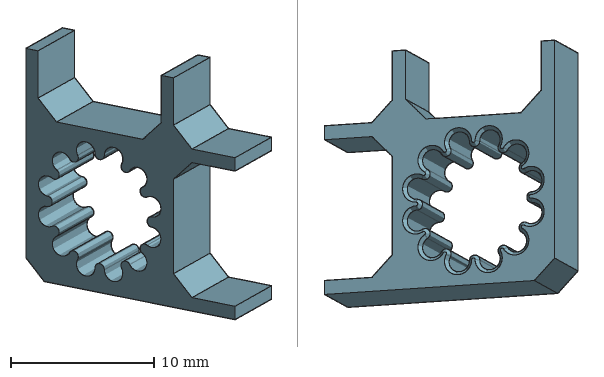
import cadquery as cq
import math

size = 17.0
depth = 5.0
wall = size / 17
body = 12 * wall
chamfer = 1.5 * wall

bore_center = body / 2
lobe_count = 12
lobe_radius = 0.75
lobe_center_radius = 4.37
tip_center_radius = 4.23
half_pitch = math.pi / lobe_count

lobe_tip_distance = math.sqrt(
    lobe_center_radius**2 + tip_center_radius**2
    - 2 * lobe_center_radius * tip_center_radius * math.cos(half_pitch)
)
tip_radius = lobe_tip_distance - lobe_radius

bore_chamfer = 0.25


def bore_point(radius, angle):
    """Point in the XZ plane at polar coordinates about the bore axis."""
    return (
        bore_center + radius * math.cos(angle),
        bore_center + radius * math.sin(angle),
    )


def tangent_point(lobe_angle, tip_angle):
    """Point where a lobe meets a neighbouring tip."""
    lobe_x, lobe_z = bore_point(lobe_center_radius, lobe_angle)
    tip_x, tip_z = bore_point(tip_center_radius, tip_angle)
    fraction = lobe_radius / lobe_tip_distance
    return (
        lobe_x + fraction * (tip_x - lobe_x),
        lobe_z + fraction * (tip_z - lobe_z),
    )


def make_frame():
    """Square body with two fins upward and two fins to the right."""
    outline = [
        (chamfer, 0),
        (size, 0),
        (size, wall),
        (body + chamfer, wall),
        (body, wall + chamfer),
        (body, body - wall - chamfer),
        (body + chamfer, body - wall),
        (size, body - wall),
        (size, body),
        (body + chamfer, body),
        (body, body + chamfer),
        (body, size),
        (body - wall, size),
        (body - wall, body + chamfer),
        (body - wall - chamfer, body),
        (wall + chamfer, body),
        (wall, body + chamfer),
        (wall, size),
        (0, size),
        (0, chamfer),
    ]
    return cq.Workplane("XZ").polyline(outline).close().extrude(-depth)


def make_bore():
    """Through cutter whose outline alternates lobes and tips."""
    profile = cq.Workplane("XZ").moveTo(*tangent_point(half_pitch, 0))
    for index in range(lobe_count):
        lobe_angle = (2 * index + 1) * half_pitch
        tip_angle = lobe_angle + half_pitch
        next_lobe_angle = tip_angle + half_pitch
        lobe_crest = bore_point(lobe_center_radius + lobe_radius, lobe_angle)
        tip_crest = bore_point(tip_center_radius - tip_radius, tip_angle)
        profile = profile.threePointArc(lobe_crest, tangent_point(lobe_angle, tip_angle))
        profile = profile.threePointArc(tip_crest, tangent_point(next_lobe_angle, tip_angle))
    return profile.close().extrude(-depth)


result = (
    make_frame()
    .cut(make_bore())
    .faces(">Y")
    .edges("%CIRCLE")
    .chamfer(bore_chamfer)
)